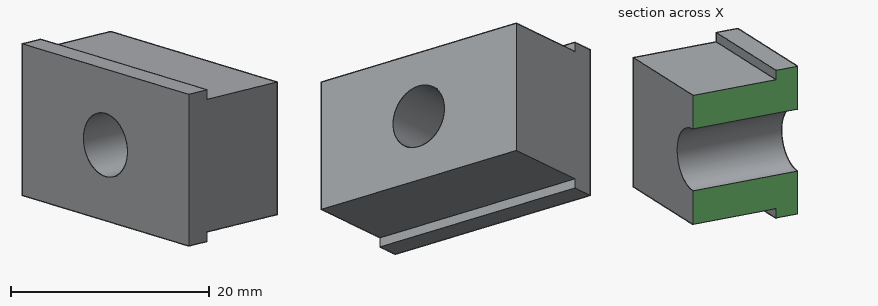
import cadquery as cq

length = 25.0
depth = 12.0
flange_height = 15.88
flange_thickness = 2.5
lip = 1.0
hole_diameter = 6.6

block_height = flange_height - 2 * lip
front_y = -depth / 2

block = cq.Workplane("XY").box(length, depth, block_height)

flange = (
    cq.Workplane("XY")
    .box(length, flange_thickness, flange_height)
    .translate((0, front_y + flange_thickness / 2, 0))
)

bore = (
    cq.Workplane("XZ", origin=(0, depth / 2, 0))
    .circle(hole_diameter / 2)
    .extrude(depth)
)

result = block.union(flange).cut(bore)